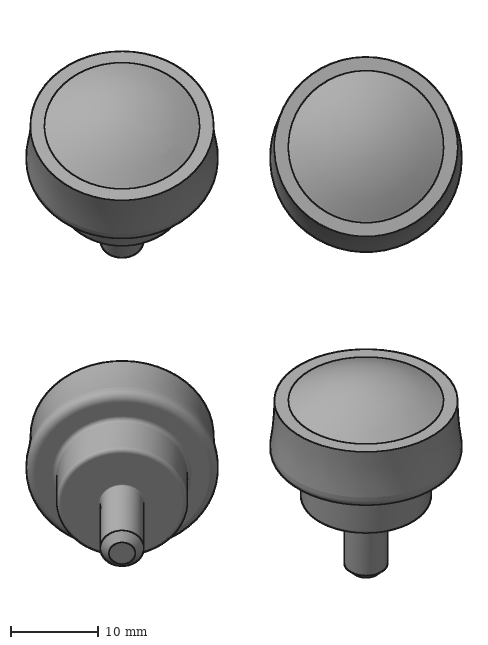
import cadquery as cq
import math

stem_radius = 5.0 / 2
hub_radius = 15.0 / 2
head_radius = 21.97 / 2
head_top_radius = 10.5
dome_radius = 8.65
dome_rim_radius = 8.9

hub_bottom = 10.0
head_bottom = 16.0
wall_bottom = 17.5
head_top = 23.5
total_height = 26.0

tip_chamfer = 1.0
stem_root_fillet = 0.15
hub_fillet = 0.5
head_fillet = 1.0
dome_rim_rise = 0.1

dome_base = head_top + dome_rim_rise


def quarter_midpoint(center, radius, side, height_side):
    """Middle of a quarter arc; the two signs choose its quadrant."""
    offset = radius * math.sqrt(0.5)
    return (center[0] + side * offset, center[1] + height_side * offset)


def circle_radius(half_chord, rise):
    """Radius of the circle whose apex is `rise` above a point `half_chord` away."""
    return (half_chord**2 + rise**2) / (2 * rise)


wall_height = head_top - wall_bottom
wall_arc_radius = circle_radius(wall_height, head_radius - head_top_radius)
wall_mid = (
    head_top_radius + wall_arc_radius - math.sqrt(wall_arc_radius**2 - (wall_height / 2) ** 2),
    head_top - wall_height / 2,
)

dome_sphere_radius = circle_radius(dome_radius, total_height - dome_base)
dome_mid = (
    dome_radius / 2,
    total_height - dome_sphere_radius + math.sqrt(dome_sphere_radius**2 - (dome_radius / 2) ** 2),
)

stem_root_center = (stem_radius + stem_root_fillet, hub_bottom - stem_root_fillet)
hub_edge_center = (hub_radius - hub_fillet, hub_bottom + hub_fillet)
hub_root_center = (hub_radius + hub_fillet, head_bottom - hub_fillet)
head_edge_center = (head_radius - head_fillet, head_bottom + head_fillet)

profile = (
    cq.Workplane("XZ")
    .moveTo(0, 0)
    .lineTo(stem_radius - tip_chamfer, 0)
    .lineTo(stem_radius, tip_chamfer)
    .lineTo(stem_radius, stem_root_center[1])
    .threePointArc(
        quarter_midpoint(stem_root_center, stem_root_fillet, -1, 1),
        (stem_root_center[0], hub_bottom),
    )
    .lineTo(hub_edge_center[0], hub_bottom)
    .threePointArc(
        quarter_midpoint(hub_edge_center, hub_fillet, 1, -1),
        (hub_radius, hub_edge_center[1]),
    )
    .lineTo(hub_radius, hub_root_center[1])
    .threePointArc(
        quarter_midpoint(hub_root_center, hub_fillet, -1, 1),
        (hub_root_center[0], head_bottom),
    )
    .lineTo(head_edge_center[0], head_bottom)
    .threePointArc(
        quarter_midpoint(head_edge_center, head_fillet, 1, -1),
        (head_radius, head_edge_center[1]),
    )
    .lineTo(head_radius, wall_bottom)
    .threePointArc(wall_mid, (head_top_radius, head_top))
    .lineTo(dome_rim_radius, head_top)
    .lineTo(dome_radius, dome_base)
    .threePointArc(dome_mid, (0, total_height))
    .close()
)

result = profile.revolve(360, (0, 0, 0), (0, 1, 0))